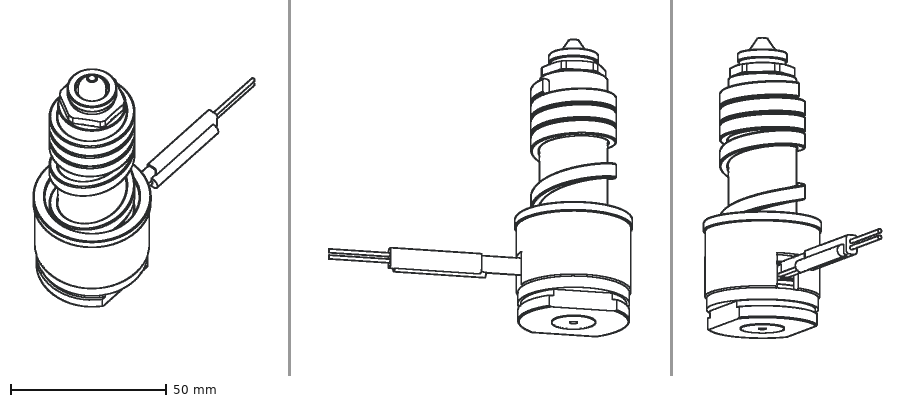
import cadquery as cq
import math


foot_boss_radius = 7.1
foot_boss_height = 0.3
foot_radius = 18.0
foot_chamfer = 0.4
foot_groove_radius = 17.1
foot_groove_bottom = 4.2
foot_groove_top = 6.3
foot_flat_distance = 14.1

cup_floor = 10.1
cup_radius = 18.5
cup_bottom_chamfer = 0.5
cup_bore_radius = 15.2
seat_radius = 14.5
seat_top = 12.0
cup_top = 35.0
rim_radius = 19.0
rim_bottom = 31.9
rim_chamfer = 0.3
bore_chamfer = 0.4
cable_slot_width = 7.6
cable_slot_top = 21.6

core_radius = 11.0
core_top = 82.0
core_chamfer = 0.3
neck_radius = 9.0
hex_across_flats = 19.0
hex_corner_radius = 10.5
hex_bottom = 82.6
hex_chamfer_width = 2.5
hex_chamfer_height = 0.6
hex_top = 85.9
collar_groove_radius = 7.5
collar_radius = 8.0
collar_bottom = 87.5
collar_top = 90.3
collar_chamfer = 0.3
recess_radius = 5.3
recess_depth = 2.0
recess_chamfer = 0.3
tip_base_radius = 4.5
tip_cone_radius = 3.4
tip_cone_bottom = 92.6
tip_radius = 1.7
tip_top = 95.2
nozzle_bore_radius = 1.2

coil_clearance = 0.05
coil_inner_radius = core_radius + coil_clearance
coil_outer_radius = 13.8
strip_height = 4.9
strip_chamfer = 0.4
coil_start_angle = 122.0
coil_start_height = 77.1
tight_pitch = 5.3
open_pitch = 21.5
transition_angle = 152.0
upper_turns_angle = 3 * 360.0
open_turn_angle = 360.0
lower_turns_angle = 809.0
points_per_turn = 24

lead_x = -1.4
lead_z = 17.3
lead_width = 3.1
lead_height = 5.1
lead_fillet = 0.6
lead_start = (coil_inner_radius + coil_outer_radius) / 2
sleeve_width = 3.8
sleeve_height = 6.3
sleeve_fillet = 0.9
sleeve_start = 31.0
sleeve_length = 30.0
wire_radius = 0.65
wire_spacing = 2.1
wire_end = 81.0
sensor_radius = 2.0
sensor_x = 0.8
sensor_z = 15.5
sensor_start = 29.0
sensor_length = 30.0
sensor_wire_radius = 0.6
sensor_wire_x = 0.2


def disc(radius, bottom, top):
    """Cylinder on the Z axis between two heights."""
    return cq.Workplane("XY").workplane(offset=bottom).circle(radius).extrude(top - bottom)


def foot():
    """Grooved flange with two flats across X, below the plain band that carries the cup."""
    flange = disc(foot_radius, foot_boss_height, foot_groove_bottom).faces("<Z").chamfer(foot_chamfer)
    groove = disc(foot_groove_radius, foot_groove_bottom, foot_groove_top)
    flat_part = flange.union(groove).intersect(
        cq.Workplane("XY").box(2 * foot_flat_distance, 2 * foot_radius, 2 * foot_groove_top)
    )
    boss = disc(foot_boss_radius, 0, foot_boss_height)
    band = disc(foot_radius, foot_groove_top, cup_floor)
    return flat_part.union(boss).union(band)


def cup():
    """Thin-walled cup with a turned rim, a cable slot towards +Y and a seat ring at its floor."""
    wall = disc(cup_radius, cup_floor, rim_bottom).faces("<Z").chamfer(cup_bottom_chamfer)
    rim = disc(rim_radius, rim_bottom, cup_top).faces("<Z or >Z").chamfer(rim_chamfer)
    shell = wall.union(rim).cut(disc(cup_bore_radius, cup_floor, cup_top))
    shell = shell.faces(">Z").edges(cq.selectors.RadiusNthSelector(0)).chamfer(bore_chamfer)
    slot = cq.Workplane("XY").box(
        cable_slot_width, rim_radius, cable_slot_top - cup_floor, centered=(True, False, False)
    )
    seat = disc(cup_bore_radius, cup_floor, seat_top).cut(disc(seat_radius, cup_floor, seat_top))
    return shell.cut(slot.translate((0, 0, cup_floor))).union(seat)


def hexagon():
    """Wrench hexagon with corners towards +Y and -Y, turned and chamfered from above."""
    corner_circle_diameter = hex_across_flats / math.cos(math.radians(30))
    prism = (
        cq.Workplane("XY").workplane(offset=hex_bottom)
        .polygon(6, corner_circle_diameter)
        .extrude(hex_top - hex_bottom)
        .rotate((0, 0, 0), (0, 0, 1), 30)
    )
    turned_blank = (
        disc(hex_corner_radius, hex_bottom, hex_top)
        .faces(">Z").chamfer(hex_chamfer_height, hex_chamfer_width)
    )
    return prism.intersect(turned_blank)


def collar():
    """Collar above a neck groove, with a round recess around the tip."""
    groove = disc(collar_groove_radius, hex_top, collar_bottom)
    ring = disc(collar_radius, collar_bottom, collar_top).faces("<Z or >Z").chamfer(collar_chamfer)
    recess = disc(recess_radius, collar_top - recess_depth, collar_top)
    body = groove.union(ring).cut(recess)
    return body.faces(">Z").edges(cq.selectors.RadiusNthSelector(0)).chamfer(recess_chamfer)


def tip():
    """Cone with a rounded base, tangent to the cone, standing in the collar recess."""
    base_height = collar_top - recess_depth
    cone_direction = (tip_cone_radius - tip_radius, tip_cone_bottom - tip_top)
    return (
        cq.Workplane("XZ")
        .moveTo(0, tip_top)
        .lineTo(tip_radius, tip_top)
        .lineTo(tip_cone_radius, tip_cone_bottom)
        .spline([(tip_base_radius, collar_top)], tangents=[cone_direction, (0, -1)], includeCurrent=True)
        .lineTo(tip_base_radius, base_height)
        .lineTo(0, base_height)
        .close()
        .revolve(360, (0, 0, 0), (0, 1, 0))
    )


def make_housing():
    """Foot, cup, core, hexagon, collar and tip as one turned body with a bore through it."""
    core = disc(core_radius, cup_floor, core_top).faces(">Z").chamfer(core_chamfer)
    neck = disc(neck_radius, core_top, hex_bottom)
    body = foot().union(cup())
    for feature in (core, neck, hexagon(), collar(), tip()):
        body = body.union(feature)
    return body.cut(disc(nozzle_bore_radius, 0, tip_top))


def strip_section():
    """Corners of the chamfered strip section as (radius, height above the strip's middle)."""
    half_height = strip_height / 2
    flat_half_height = half_height - strip_chamfer
    flat_inner_radius = coil_inner_radius + strip_chamfer
    flat_outer_radius = coil_outer_radius - strip_chamfer
    return [
        (coil_inner_radius, -flat_half_height),
        (flat_inner_radius, -half_height),
        (flat_outer_radius, -half_height),
        (coil_outer_radius, -flat_half_height),
        (coil_outer_radius, flat_half_height),
        (flat_outer_radius, half_height),
        (flat_inner_radius, half_height),
        (coil_inner_radius, flat_half_height),
    ]


def rail(radius, start_angle, start_height, sweep_angle, first_pitch, last_pitch):
    """Helical edge winding downwards, its pitch changing evenly from first to last."""
    turns = sweep_angle / 360
    sweep_radians = math.radians(sweep_angle)

    def point(fraction):
        turned = math.radians(start_angle - fraction * sweep_angle)
        drop = turns * (first_pitch * fraction + (last_pitch - first_pitch) * fraction**2 / 2)
        return cq.Vector(radius * math.cos(turned), radius * math.sin(turned), start_height - drop)

    def tangent(fraction, pitch):
        turned = math.radians(start_angle - fraction * sweep_angle)
        run = radius * sweep_radians
        return cq.Vector(run * math.sin(turned), -run * math.cos(turned), -pitch * turns)

    count = math.ceil(turns * points_per_turn)
    fractions = [step / count for step in range(count + 1)]
    return cq.Edge.makeSpline(
        [point(fraction) for fraction in fractions],
        tangents=[tangent(0, first_pitch), tangent(1, last_pitch)],
        parameters=fractions,
        scale=False,
    )


def end_face(points):
    """Flat face closing one end of the strip."""
    return cq.Face.makeFromWires(cq.Wire.makePolygon(points, close=True))


def coil():
    """Strip bounded by ruled faces between the helical rails of its section corners."""
    stretches = [
        (upper_turns_angle, tight_pitch, tight_pitch),
        (transition_angle, tight_pitch, open_pitch),
        (open_turn_angle, open_pitch, open_pitch),
        (transition_angle, open_pitch, tight_pitch),
        (lower_turns_angle, tight_pitch, tight_pitch),
    ]
    angle = coil_start_angle
    height = coil_start_height
    faces = []
    for sweep_angle, first_pitch, last_pitch in stretches:
        rails = [
            rail(radius, angle, height + rise, sweep_angle, first_pitch, last_pitch)
            for radius, rise in strip_section()
        ]
        if not faces:
            faces.append(end_face([edge.startPoint() for edge in rails]))
        for index, edge in enumerate(rails):
            faces.append(cq.Face.makeRuledSurface(rails[index - 1], edge))
        angle -= sweep_angle
        height -= sweep_angle / 360 * (first_pitch + last_pitch) / 2
    faces.append(end_face([edge.endPoint() for edge in rails]))
    return cq.Workplane(cq.Solid.makeSolid(cq.Shell.makeShell(faces)).fix())


def bar_along_y(width, height, fillet, start, end):
    """Rounded rectangular bar on the lead's axis."""
    bar = cq.Workplane("XY").box(width, end - start, height).edges("|Y").fillet(fillet)
    return bar.translate((lead_x, (start + end) / 2, lead_z))


def rod_along_y(radius, x, z, start, end):
    """Round rod parallel to the Y axis."""
    return cq.Workplane("XZ").circle(radius).extrude(start - end).translate((x, start, z))


def make_heater():
    """Coil with its lead, sleeve, two wires and the temperature sensor beside the sleeve."""
    sleeve_end = sleeve_start + sleeve_length
    sensor_end = sensor_start + sensor_length
    lead = bar_along_y(lead_width, lead_height, lead_fillet, lead_start, sleeve_start)
    sleeve = bar_along_y(sleeve_width, sleeve_height, sleeve_fillet, sleeve_start, sleeve_end)
    cable = lead.union(sleeve)
    for side in (-1, 1):
        wire_z = lead_z + side * wire_spacing / 2
        cable = cable.union(rod_along_y(wire_radius, lead_x, wire_z, sleeve_end, wire_end))
    cable = cable.union(rod_along_y(sensor_radius, sensor_x, sensor_z, sensor_start, sensor_end))
    cable = cable.union(rod_along_y(sensor_wire_radius, sensor_wire_x, sensor_z, lead_start, sensor_start))
    return coil().union(cable)


housing = make_housing()
heater = make_heater()
result = cq.Compound.makeCompound([housing.solids().val(), heater.solids().val()])